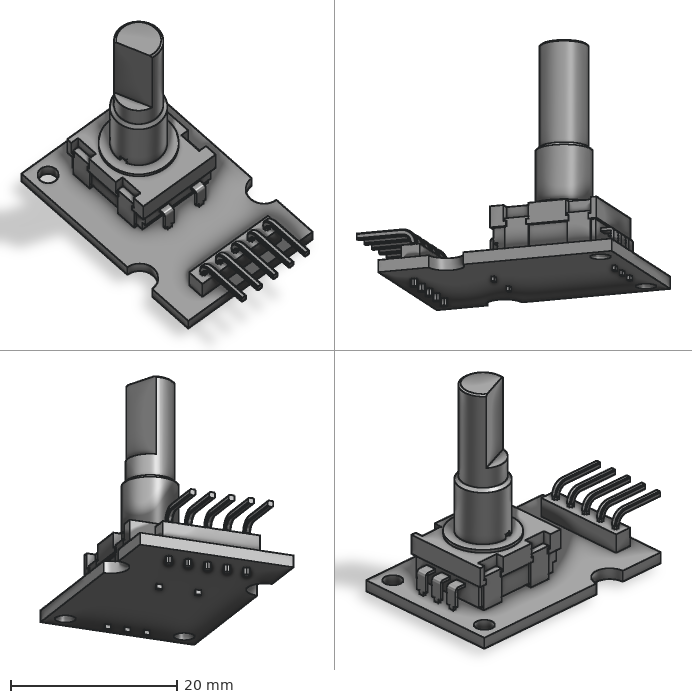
import cadquery as cq
import math


BOARD_LENGTH = 29.97
BOARD_WIDTH = 20.12
BOARD_THICKNESS = 1.5
MOUNT_HOLE_DIAMETER = 2.5
MOUNT_HOLE_X = 2.27
MOUNT_HOLE_Y = 7.8
NOTCH_RADIUS = 2.2
NOTCH_X = 21.25

PIN_COUNT = 5
PIN_PITCH = 2.55
PIN_X = 27.2
PIN_POST_ACROSS_CORNERS = 0.9
PIN_BAR_SIZE = 0.75
PIN_BAR_CHAMFER = 0.15
PIN_BEND_RADIUS = 1.48
PIN_AXIS_Z = 4.4
PIN_END_X = 34.45
PIN_TAIL = 0.85
STRIP_WIDTH = 2.38
STRIP_LENGTH = PIN_COUNT * PIN_PITCH
STRIP_HEIGHT = 2.55

ENCODER_Y = 0.05
BOX_LEFT = 3.5
BOX_LENGTH = 13.68
BOX_WIDTH = 11.7
BOX_BOTTOM = 3.9
BOX_TOP = 6.5
FLANGE_DIAMETER = 9.65
FLANGE_HEIGHT = 0.4
BUSHING_DIAMETER = 6.92
BUSHING_TOP = 14.45
BUSHING_CHAMFER_HEIGHT = 0.4
SHAFT_X = 9.85
RECESS_WIDTH = 0.9
RECESS_HEIGHT = 0.62
RECESS_DEPTH = 0.45
RECESS_OFFSET = 0.9

STRAP_CENTRES_X = (5.85, 13.85)
STRAP_WIDTH = 3.0
STRAP_OUTER_WIDTH = 11.3
STRAP_BOTTOM = 0.3
STRAP_FLOOR_THICKNESS = 0.2
STRAP_TOP = 4.9
NOTCH_WIDE = 3.2
NOTCH_NARROW = 2.55
NOTCH_DEPTH = 1.1
NOTCH_LEDGE_Z = 4.55

BASE_LEFT = 3.82
BASE_RIGHT = 16.95
BASE_WIDTH = 10.6
BASE_BOTTOM = 0.72
BASE_STEP_LENGTH = 0.5
BASE_STEP_Z = 2.03
LEAD_PITCH = 2.55
LEAD_MIDDLE_Y = 0.28
LEAD_WIDTH = 1.48
LEAD_TIP_WIDTH = 0.72
LEAD_THICKNESS = 0.38
LEAD_TOP = 3.17
LEAD_SHOULDER_Z = 0.48
LEAD_TAIL = 0.55
LEAD_BEND_RADIUS = 0.5
LEFT_LEAD_X = 2.15
RIGHT_LEAD_X = 18.02

SHAFT_DIAMETER = 5.95
SHAFT_TOP = 27.18
SHAFT_CHAMFER = 0.28
SHAFT_CHAMFER_HEIGHT = 0.2
FLAT_BOTTOM = 17.12
FLAT_DISTANCE = 1.5
FLAT_ANGLE = 21.6

FLANGE_TOP = BOX_TOP + FLANGE_HEIGHT
PIN_BOTTOM = -BOARD_THICKNESS - PIN_TAIL
POST_TOP = PIN_AXIS_Z - PIN_BEND_RADIUS
LEAD_BOTTOM = -BOARD_THICKNESS - LEAD_TAIL
PIN_ROWS_Y = [(i - (PIN_COUNT - 1) / 2) * PIN_PITCH for i in range(PIN_COUNT)]
LEFT_LEADS_Y = [LEAD_MIDDLE_Y + i * LEAD_PITCH for i in (-1, 0, 1)]
RIGHT_LEADS_Y = [LEAD_MIDDLE_Y + i * LEAD_PITCH for i in (-1, 1)]


def block(x0, x1, y0, y1, z0, z1):
    """Box between two opposite corners."""
    return cq.Workplane("XY").box(x1 - x0, y1 - y0, z1 - z0, centered=False).translate((x0, y0, z0))


def cylinder(x, y, diameter, z0, z1):
    """Upright cylinder from height z0 to z1."""
    return cq.Workplane("XY", origin=(x, y, z0)).circle(diameter / 2).extrude(z1 - z0)


def pin_post(y, z0, z1):
    """Upright octagonal prism in one pin position, with flats facing X and Y."""
    sides = 8
    post = cq.Workplane("XY").polygon(sides, PIN_POST_ACROSS_CORNERS).extrude(z1 - z0)
    return post.rotate((0, 0, 0), (0, 0, 1), 180 / sides).translate((PIN_X, y, z0))


def make_pin(y):
    """Octagonal upright post that carries a square bar bent over toward +X."""
    half = PIN_BAR_SIZE / 2
    flat = half - PIN_BAR_CHAMFER
    corners = [(half, flat), (flat, half), (-flat, half), (-half, flat)]
    corners += [(-u, -v) for u, v in corners]
    section = cq.Workplane("XY", origin=(PIN_X, y, POST_TOP)).polyline(corners).close()
    path = (
        cq.Workplane("XZ", origin=(0, y, 0))
        .moveTo(PIN_X, POST_TOP)
        .radiusArc((PIN_X + PIN_BEND_RADIUS, PIN_AXIS_Z), PIN_BEND_RADIUS)
        .lineTo(PIN_END_X, PIN_AXIS_Z)
    )
    bar = section.sweep(path)
    return pin_post(y, PIN_BOTTOM, POST_TOP).union(bar)


def lead_profile(outer_x, inner_x):
    """Side outline of a bent lead from its tip up and over to the base."""
    inward = math.copysign(1, inner_x - outer_x)
    inner_radius = LEAD_BEND_RADIUS - LEAD_THICKNESS
    bend_z = LEAD_TOP - LEAD_BEND_RADIUS
    bend_x = outer_x + inward * LEAD_BEND_RADIUS
    leg_x = outer_x + inward * LEAD_THICKNESS
    return (
        cq.Workplane("XZ")
        .moveTo(outer_x, LEAD_BOTTOM)
        .lineTo(outer_x, bend_z)
        .radiusArc((bend_x, LEAD_TOP), inward * LEAD_BEND_RADIUS)
        .lineTo(inner_x, LEAD_TOP)
        .lineTo(inner_x, LEAD_TOP - LEAD_THICKNESS)
        .lineTo(bend_x, LEAD_TOP - LEAD_THICKNESS)
        .radiusArc((leg_x, bend_z), -inward * inner_radius)
        .lineTo(leg_x, LEAD_BOTTOM)
        .close()
    )


def make_lead(outer_x, inner_x, y):
    """Flat bent lead with a narrow tip that goes through the board."""
    lead = lead_profile(outer_x, inner_x).extrude(LEAD_WIDTH / 2, both=True).translate((0, y, 0))
    half_wide = LEAD_WIDTH / 2
    half_tip = LEAD_TIP_WIDTH / 2
    x0, x1 = sorted((outer_x, inner_x))
    for y0, y1 in ((y - half_wide, y - half_tip), (y + half_tip, y + half_wide)):
        lead = lead.cut(block(x0, x1, y0, y1, LEAD_BOTTOM, LEAD_SHOULDER_Z))
    return lead


def make_base():
    """Base block with a step in its right end and the five leads."""
    half = BASE_WIDTH / 2
    base = block(BASE_LEFT, BASE_RIGHT, ENCODER_Y - half, ENCODER_Y + half, BASE_BOTTOM, BOX_BOTTOM)
    step_x = BASE_RIGHT - BASE_STEP_LENGTH
    base = base.cut(block(step_x, BASE_RIGHT, ENCODER_Y - half, ENCODER_Y + half, BASE_BOTTOM, BASE_STEP_Z))
    for y in LEFT_LEADS_Y:
        base = base.union(make_lead(LEFT_LEAD_X, BASE_LEFT, y))
    for y in RIGHT_LEADS_Y:
        base = base.union(make_lead(RIGHT_LEAD_X, BASE_RIGHT, y))
    return base


def make_strap(x):
    """Strap of U shape: two legs, a floor under the base, and tabs folded in at the top."""
    x0 = x - STRAP_WIDTH / 2
    x1 = x + STRAP_WIDTH / 2
    outer = STRAP_OUTER_WIDTH / 2
    inner = BASE_WIDTH / 2
    floor_top = STRAP_BOTTOM + STRAP_FLOOR_THICKNESS
    strap = block(x0, x1, ENCODER_Y - outer, ENCODER_Y + outer, STRAP_BOTTOM, STRAP_TOP)
    strap = strap.cut(block(x0, x1, ENCODER_Y - inner, ENCODER_Y + inner, floor_top, BOX_BOTTOM))
    tab_end = BOX_WIDTH / 2 - NOTCH_DEPTH
    return strap.cut(block(x0, x1, ENCODER_Y - tab_end, ENCODER_Y + tab_end, BOX_BOTTOM, STRAP_TOP))


def make_box():
    """Box with strap notches along both long sides."""
    half = BOX_WIDTH / 2
    skin = half - STRAP_OUTER_WIDTH / 2
    steps = ((NOTCH_WIDE, NOTCH_DEPTH, NOTCH_LEDGE_Z), (NOTCH_NARROW, skin, BOX_BOTTOM))
    box = block(BOX_LEFT, BOX_LEFT + BOX_LENGTH, ENCODER_Y - half, ENCODER_Y + half, BOX_BOTTOM, BOX_TOP)
    for x in STRAP_CENTRES_X:
        for side in (-1, 1):
            edge = ENCODER_Y + side * half
            for width, depth, z0 in steps:
                y0, y1 = sorted((edge, edge - side * depth))
                box = box.cut(block(x - width / 2, x + width / 2, y0, y1, z0, BOX_TOP))
    return box


def make_bushing():
    """Round flange and bushing; the bushing has a bevel that ends at the shaft."""
    flange = cylinder(SHAFT_X, ENCODER_Y, FLANGE_DIAMETER, BOX_TOP, FLANGE_TOP)
    bushing = cylinder(SHAFT_X, ENCODER_Y, BUSHING_DIAMETER, FLANGE_TOP, BUSHING_TOP)
    bevel = (BUSHING_DIAMETER - SHAFT_DIAMETER) / 2
    bushing = bushing.faces(">Z").chamfer(BUSHING_CHAMFER_HEIGHT, bevel)
    recess_x = SHAFT_X + RECESS_OFFSET
    recess_y = ENCODER_Y - BUSHING_DIAMETER / 2
    recess = block(
        recess_x - RECESS_WIDTH / 2, recess_x + RECESS_WIDTH / 2,
        recess_y, recess_y + RECESS_DEPTH,
        FLANGE_TOP, FLANGE_TOP + RECESS_HEIGHT,
    )
    return flange.union(bushing.cut(recess))


def make_shaft():
    """Shaft with a bevelled top and one flat."""
    shaft = cylinder(SHAFT_X, ENCODER_Y, SHAFT_DIAMETER, BOX_BOTTOM, SHAFT_TOP)
    shaft = shaft.faces(">Z").chamfer(SHAFT_CHAMFER_HEIGHT, SHAFT_CHAMFER)
    flat = block(FLAT_DISTANCE, SHAFT_DIAMETER, -SHAFT_DIAMETER, SHAFT_DIAMETER, FLAT_BOTTOM, SHAFT_TOP)
    flat = flat.rotate((0, 0, 0), (0, 0, 1), FLAT_ANGLE - 90).translate((SHAFT_X, ENCODER_Y, 0))
    return shaft.cut(flat)


def make_housing():
    """Box, flange, bushing and straps in one piece, bored for the shaft."""
    housing = make_box().union(make_bushing())
    for x in STRAP_CENTRES_X:
        housing = housing.union(make_strap(x))
    return housing.cut(cylinder(SHAFT_X, ENCODER_Y, SHAFT_DIAMETER, BOX_BOTTOM, BUSHING_TOP))


def make_strip():
    """Header strip with one hole for each pin."""
    half = STRIP_WIDTH / 2
    strip = block(PIN_X - half, PIN_X + half, -STRIP_LENGTH / 2, STRIP_LENGTH / 2, 0, STRIP_HEIGHT)
    for y in PIN_ROWS_Y:
        strip = strip.cut(pin_post(y, 0, STRIP_HEIGHT))
    return strip


def make_board():
    """Board with mounting holes, edge notches, and holes for pins and leads."""
    half = BOARD_WIDTH / 2
    board = block(0, BOARD_LENGTH, -half, half, -BOARD_THICKNESS, 0)
    holes = [(MOUNT_HOLE_X, side * MOUNT_HOLE_Y, MOUNT_HOLE_DIAMETER) for side in (-1, 1)]
    holes += [(NOTCH_X, side * half, 2 * NOTCH_RADIUS) for side in (-1, 1)]
    for x, y, diameter in holes:
        board = board.cut(cylinder(x, y, diameter, -BOARD_THICKNESS, 0))
    for y in PIN_ROWS_Y:
        board = board.cut(pin_post(y, -BOARD_THICKNESS, 0))
    slots = [(LEFT_LEAD_X, y) for y in LEFT_LEADS_Y]
    slots += [(RIGHT_LEAD_X - LEAD_THICKNESS, y) for y in RIGHT_LEADS_Y]
    half_tip = LEAD_TIP_WIDTH / 2
    for x, y in slots:
        board = board.cut(block(x, x + LEAD_THICKNESS, y - half_tip, y + half_tip, -BOARD_THICKNESS, 0))
    return board


board = make_board()
strip = make_strip()
pins = [make_pin(y) for y in PIN_ROWS_Y]
base = make_base()
shaft = make_shaft()
housing = make_housing()

result = cq.Compound.makeCompound(
    [board.val(), strip.val(), *[pin.val() for pin in pins], base.val(), housing.val(), shaft.val()]
)